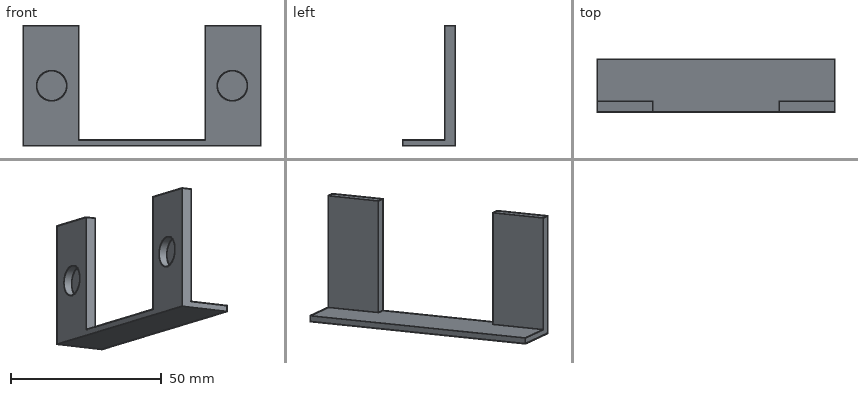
import cadquery as cq

length = 79.0
depth = 17.6
height = 40.0

base_thickness = 2.0
tab_thickness = 3.6
tab_gap = 42.0
tab_width = (length - tab_gap) / 2

recess_diameter = 10.0
recess_depth = 3.0
recess_spacing = 60.0
recess_height = height / 2


def make_base():
    """Flat flange in the XY plane, front edge on Y = 0, centred on X."""
    return cq.Workplane("XY").box(length, depth, base_thickness, centered=(True, False, False))


def make_tab(side):
    """Upright tab at one end of the base; side is -1 (left) or +1 (right)."""
    center_x = side * (length - tab_width) / 2
    tab = cq.Workplane("XY").box(tab_width, tab_thickness, height, centered=(True, False, False))
    return tab.translate((center_x, 0, 0))


def make_recess(side):
    """Cylinder that cuts the blind recess, running inward (+Y) from the front face."""
    center = cq.Vector(side * recess_spacing / 2, 0, recess_height)
    inward = cq.Vector(0, 1, 0)
    return cq.Workplane(cq.Solid.makeCylinder(recess_diameter / 2, recess_depth, center, inward))


result = make_base()
for side in (-1, 1):
    result = result.union(make_tab(side)).cut(make_recess(side))